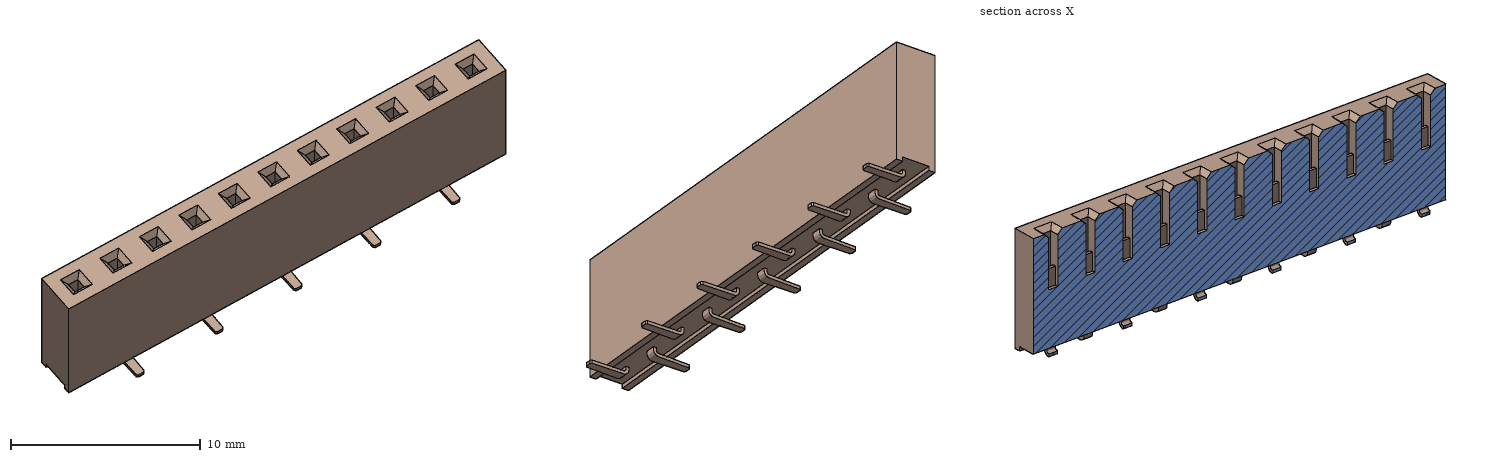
import cadquery as cq

contact_count = 11
length = 28.15
end_allowance = 0.2
body_width = 2.5
total_height = 7.4
standoff = 0.25
channel_width = 1.7
channel_height = 0.25

funnel_mouth = 1.2
funnel_throat = 0.6
funnel_depth = 0.3
socket_depth = 3.38

lead_span = 4.65
lead_thickness = 0.2
lead_width = funnel_throat
lead_tip_width = 0.5
tip_chamfer = 0.08
bend_inner_radius = 0.15
blade_height = 1.13

pitch = (length - end_allowance) / contact_count
first_contact_y = pitch * (contact_count - 1) / 2
funnel_bottom = total_height - funnel_depth
socket_floor = total_height - socket_depth
blade_top = socket_floor + blade_height
bend_outer_radius = bend_inner_radius + lead_thickness
bend_end_x = lead_thickness / 2 + bend_inner_radius
foot_reach = lead_span / 2


def make_body():
    """Rectangular housing with a full-length channel underneath, leaving two rails."""
    block = (
        cq.Workplane("XY", origin=(0, 0, standoff))
        .rect(body_width, length)
        .extrude(total_height - standoff)
    )
    channel = (
        cq.Workplane("XY", origin=(0, 0, standoff))
        .rect(channel_width, length)
        .extrude(channel_height)
    )
    return block.cut(channel)


def make_socket():
    """Square lead-in funnel above a straight square shaft."""
    funnel = (
        cq.Workplane("XY", origin=(0, 0, funnel_bottom))
        .rect(funnel_throat, funnel_throat)
        .workplane(offset=funnel_depth)
        .rect(funnel_mouth, funnel_mouth)
        .loft(ruled=True)
    )
    shaft = (
        cq.Workplane("XY", origin=(0, 0, socket_floor))
        .rect(funnel_throat, funnel_throat)
        .extrude(funnel_bottom - socket_floor)
    )
    return funnel.union(shaft)


def make_lead():
    """Bent strip: a blade rising into the socket and a flat, tapered foot toward -X."""
    half_thickness = lead_thickness / 2
    half_width = lead_width / 2
    half_tip = lead_tip_width / 2
    strip = (
        cq.Workplane("XZ", origin=(0, half_width, 0))
        .moveTo(-half_thickness, blade_top)
        .lineTo(-half_thickness, bend_outer_radius)
        .radiusArc((-bend_end_x, lead_thickness), bend_inner_radius)
        .lineTo(-foot_reach, lead_thickness)
        .lineTo(-foot_reach, 0)
        .lineTo(-bend_end_x, 0)
        .radiusArc((half_thickness, bend_outer_radius), -bend_outer_radius)
        .lineTo(half_thickness, blade_top)
        .close()
        .extrude(lead_width)
    )
    plan = (
        cq.Workplane("XY")
        .moveTo(half_thickness, half_width)
        .lineTo(-bend_end_x, half_width)
        .lineTo(tip_chamfer - foot_reach, half_tip)
        .lineTo(-foot_reach, half_tip - tip_chamfer)
        .lineTo(-foot_reach, tip_chamfer - half_tip)
        .lineTo(tip_chamfer - foot_reach, -half_tip)
        .lineTo(-bend_end_x, -half_width)
        .lineTo(half_thickness, -half_width)
        .close()
        .extrude(blade_top)
    )
    return strip.intersect(plan)


socket = make_socket()
left_lead = make_lead()
right_lead = left_lead.rotate((0, 0, 0), (0, 0, 1), 180)

result = make_body()
for index in range(contact_count):
    position = (0, first_contact_y - index * pitch, 0)
    lead = left_lead if index % 2 == 0 else right_lead
    result = result.cut(socket.translate(position))
    result = result.union(lead.translate(position))